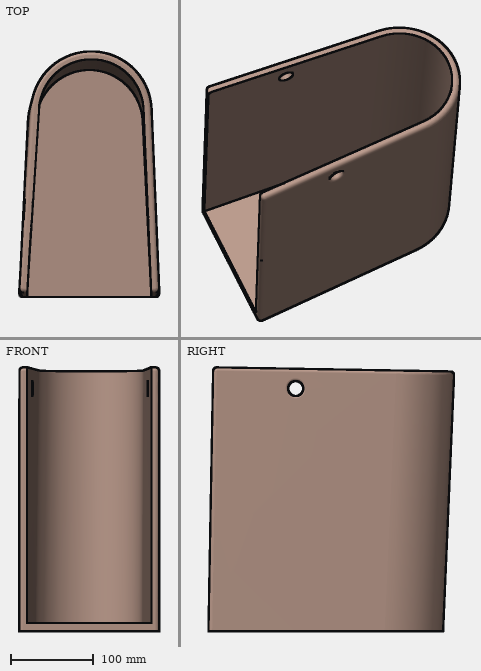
import cadquery as cq
import math

height = 320.0
wall = 10.0
front_half_width = 85.0
edge_round = 4.8

bottom_depth = 284.7
bottom_back_radius = 74.5

rim_front_y = 5.8
rim_tilt = 1.0
rim_back_y = 298.0
rim_depth = (rim_back_y - rim_front_y) / math.cos(math.radians(rim_tilt))
rim_back_radius = 73.3
rim_back_x = 2.5

hole_diameter = 18.0
hole_y = 106.0
hole_z = 294.0
hole_round = 3.2

outer_tolerance = 1.0


def tangent_point(side, half_width, radius, center_x, center_y):
    """Point where the line from a front corner (at y = 0) touches the back arc."""
    run_x = side * half_width - center_x
    distance = math.hypot(run_x, center_y)
    angle = math.atan2(-center_y, run_x) + side * math.acos(radius / distance)
    return center_x + radius * math.cos(angle), center_y + radius * math.sin(angle)


def outline(plane, depth, radius, center_x, inset=0.0):
    """Closed outline: straight front, two tapering sides and a tangent round back."""
    center_y = depth - radius
    half_width = front_half_width - inset
    arc_radius = radius - inset
    left = tangent_point(-1, half_width, arc_radius, center_x, center_y)
    right = tangent_point(1, half_width, arc_radius, center_x, center_y)
    sketch = (
        cq.Workplane(plane)
        .moveTo(-half_width, 0)
        .lineTo(half_width, 0)
        .lineTo(*right)
        .threePointArc((center_x, center_y + arc_radius), left)
        .close()
    )
    return sketch.val()


def tapered_body(inset=0.0):
    """Solid blended straight from the bottom outline to the tilted rim outline."""
    bottom_plane = cq.Plane.XY()
    rim_plane = cq.Plane.XY(origin=(0, rim_front_y, height)).rotated((-rim_tilt, 0, 0))
    bottom = outline(bottom_plane, bottom_depth, bottom_back_radius, 0, inset)
    rim = outline(rim_plane, rim_depth, rim_back_radius, rim_back_x, inset)
    return cq.Workplane(cq.Solid.makeLoft([bottom, rim], True))


floor_block = cq.Workplane().box(4 * front_half_width, 3 * rim_back_y, 2 * wall)
cavity = tapered_body(wall).cut(floor_block)
shell = tapered_body().cut(cavity)

def side_and_back_faces(body):
    """Faces of a tapered body other than its bottom, rim and front."""
    kept = []
    for face in body.faces().vals():
        normal = face.normalAt()
        is_upright = abs(normal.z) < 0.5
        faces_front = normal.y < -0.5
        if is_upright and not faces_front:
            kept.append(face)
    return cq.Compound.makeCompound(kept)


outer_faces = side_and_back_faces(tapered_body())

rim_low_z = height - rim_depth * math.sin(math.radians(rim_tilt)) - edge_round


def is_rounded(edge):
    box = edge.BoundingBox()
    at_rim = box.zmin > rim_low_z
    at_wall_end = box.ymax < rim_front_y + edge_round
    is_outer = edge.distance(outer_faces) < outer_tolerance
    is_end_edge = at_rim and at_wall_end
    is_upright = box.zlen > height / 2
    is_front_corner = at_wall_end and is_upright and is_outer
    return is_end_edge or is_front_corner or (at_rim and is_outer)


rounded_edges = [e for e in shell.edges().vals() if is_rounded(e)]
shell = shell.newObject(rounded_edges).fillet(edge_round)

drill = (
    cq.Workplane("YZ")
    .center(hole_y, hole_z)
    .circle(hole_diameter / 2)
    .extrude(2 * front_half_width, both=True)
)
shell = shell.cut(drill)


def is_outer_hole_edge(edge):
    box = edge.BoundingBox()
    near_axis = math.hypot(box.center.y - hole_y, box.center.z - hole_z) < hole_diameter / 4
    small = box.ylen < 2 * hole_diameter and box.zlen < 2 * hole_diameter
    return near_axis and small and edge.distance(outer_faces) < outer_tolerance


hole_edges = [e for e in shell.edges().vals() if is_outer_hole_edge(e)]
result = shell.newObject(hole_edges).fillet(hole_round)